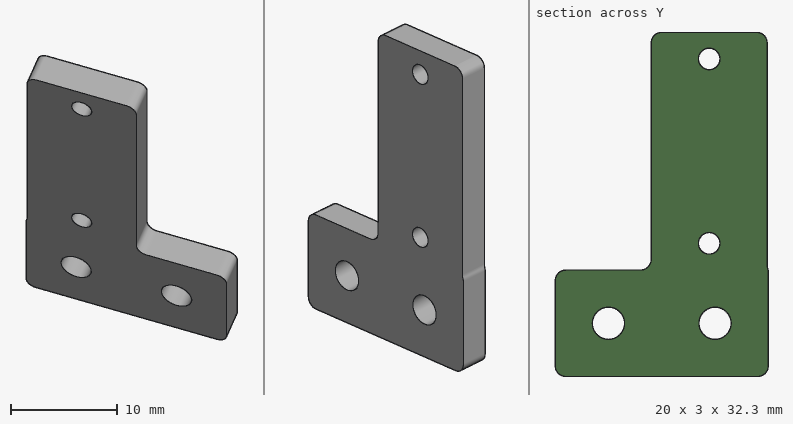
import cadquery as cq
import math

thickness = 3.0
foot_length = 20.0
foot_height = 10.0
total_height = 32.3
corner_radius = 1.0

arm_left = 0.1
arm_right = 11.0
step_middle_z = 10.14

step_angle = math.acos(1 - arm_left / (2 * corner_radius))
step_half_height = corner_radius * math.sin(step_angle)
half_angle_rise = corner_radius * math.sin(step_angle / 2)
half_angle_inset = corner_radius * (1 - math.cos(step_angle / 2))

foot_hole_diameter = 3.0
foot_hole_spacing = 10.0
foot_hole_x = (foot_length - foot_hole_spacing) / 2
foot_hole_z = foot_height / 2

arm_hole_diameter = 2.0
arm_hole_spacing = 17.3
arm_hole_x = (arm_left + arm_right) / 2
arm_hole_top_margin = 2.5
arm_hole_top_z = total_height - arm_hole_top_margin


def make_blank():
    """Plate with the stepped left side and square corners."""
    step_bottom_z = step_middle_z - step_half_height
    step_top_z = step_middle_z + step_half_height
    outline = (
        cq.Workplane("XZ")
        .moveTo(0, 0)
        .lineTo(foot_length, 0)
        .lineTo(foot_length, foot_height)
        .lineTo(arm_right, foot_height)
        .lineTo(arm_right, total_height)
        .lineTo(arm_left, total_height)
        .lineTo(arm_left, step_top_z)
        .threePointArc(
            (arm_left - half_angle_inset, step_top_z - half_angle_rise),
            (arm_left / 2, step_middle_z),
        )
        .threePointArc(
            (half_angle_inset, step_bottom_z + half_angle_rise),
            (0, step_bottom_z),
        )
        .close()
    )
    return outline.extrude(-thickness)


def round_corners(plate):
    """Round the five outer corners and the inner corner of the L."""
    corners = [
        (0, 0),
        (foot_length, 0),
        (foot_length, foot_height),
        (arm_right, foot_height),
        (arm_right, total_height),
        (arm_left, total_height),
    ]
    for x, z in corners:
        corner_edge = cq.selectors.NearestToPointSelector((x, thickness / 2, z))
        plate = plate.edges("|Y").edges(corner_edge).fillet(corner_radius)
    return plate


def drill(plate, centers, diameter):
    """Cut round through holes along Y at the given (x, z) centers."""
    pins = cq.Workplane("XZ").pushPoints(centers).circle(diameter / 2).extrude(-thickness)
    return plate.cut(pins)


foot_holes = [(foot_hole_x, foot_hole_z), (foot_hole_x + foot_hole_spacing, foot_hole_z)]
arm_holes = [(arm_hole_x, arm_hole_top_z), (arm_hole_x, arm_hole_top_z - arm_hole_spacing)]

plate = round_corners(make_blank())
plate = drill(plate, foot_holes, foot_hole_diameter)
result = drill(plate, arm_holes, arm_hole_diameter)